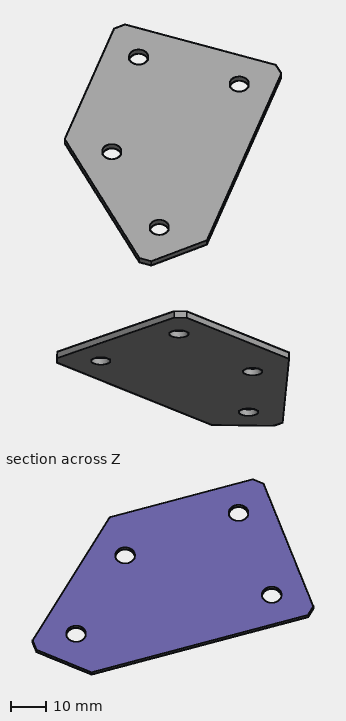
import cadquery as cq

width = 50.0
length = 79.1
thickness = 2.0

top_chamfer = 2.45
left_slope = 34.1
right_slope = 12.3

hole_diameter = 5.45
hole_inset = 10.0
slope_hole_x = 14.1
slope_hole_y = 34.1
slope_hole_step = 21.7

outline = [
    (left_slope, 0),
    (width - right_slope, 0),
    (width, right_slope),
    (width, length - top_chamfer),
    (width - top_chamfer, length),
    (top_chamfer, length),
    (0, length - top_chamfer),
    (0, left_slope),
]

hole_centers = [
    (hole_inset, length - hole_inset),
    (width - hole_inset, length - hole_inset),
    (slope_hole_x, slope_hole_y),
    (slope_hole_x + slope_hole_step, slope_hole_y - slope_hole_step),
]

plate = cq.Workplane("XY").polyline(outline).close().extrude(thickness)
holes = (
    cq.Workplane("XY")
    .pushPoints(hole_centers)
    .circle(hole_diameter / 2)
    .extrude(thickness)
)

result = plate.cut(holes)